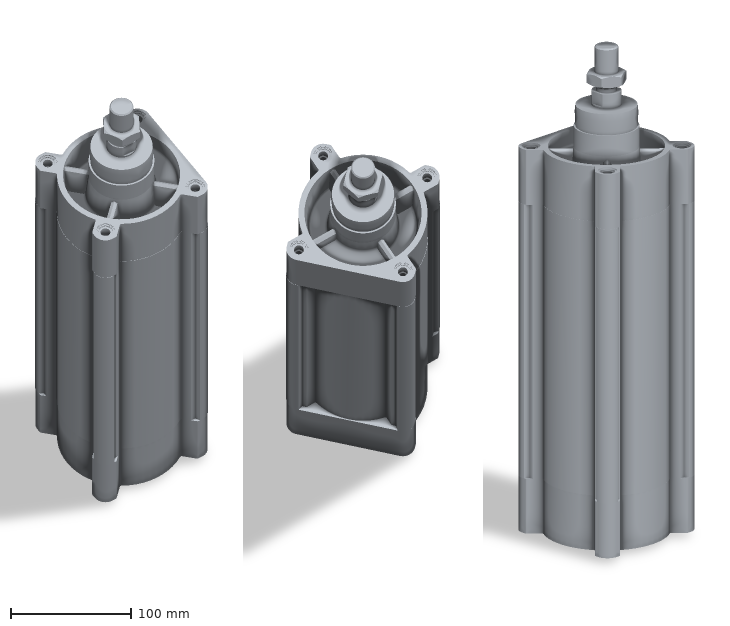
import cadquery as cq
import math


total_height = 431.5
side = 110.0
half_side = side / 2

spigot_height = 4.7
cap_height = 48.5
barrel_height = 241.5
barrel_bottom = spigot_height + cap_height
front_cap_bottom = barrel_bottom + barrel_height
front_cap_top = front_cap_bottom + cap_height
collar_top = front_cap_top + 18.0
gland_top = collar_top + 18.5

body_diameter = 108
lug_center = 44.5
lug_radius = half_side - lug_center
cap_setback = 0.2
flank_offset = 14.5
ledge_position = 51.0
ledge_end = 40.0
bead_end = lug_center - 2.0
lug_blend = 1.5

collar_diameter = 55.0
spigot_chamfer = 1.5
gland_end_radius = 26
gland_middle_radius = 26.8

recess_radius = 48.8
recess_depth = 26
wall_draft = math.radians(9)
hub_draft = math.radians(6)
shallow_recess_depth = 13
floor_blend = 2.0
rib_ridge_drop = 2.5
rib_shoulder_drop = 4.5
rib_shoulder_half_width = 2.5
rib_start = collar_diameter / 2 - 1.0
rib_end = recess_radius + 1.0

screw_bore_steps = [(16.0, 0.5), (15.0, 1.0), (13, 1.5), (12.0, 1.7), (8.0, 10.0), (5.5, 20.0)]

rod_diameter = 25.0
rod_flat_width = 22.0
rod_flat_bottom = gland_top + 1.7
rod_shoulder = 392.2
neck_diameter = 17.5
neck_top = 395.5
thread_diameter = 20.0
rod_bottom = front_cap_bottom

nut_width = 29.8
nut_bottom = 398.5
nut_height = 10.0
nut_chamfer_angle = math.radians(30)


def disc(diameter, bottom, height):
    return cq.Workplane("XY").workplane(offset=bottom).circle(diameter / 2).extrude(height)


def cap_lug():
    """Outline of one cap lug on the +X +Y diagonal."""
    cap_half_side = half_side - cap_setback
    flank_corner = cap_half_side - flank_offset
    arc_middle = lug_center + (lug_radius - cap_setback) * math.sqrt(0.5)
    return (
        cq.Workplane("XY")
        .lineTo(0, flank_offset)
        .lineTo(flank_corner, cap_half_side)
        .lineTo(lug_center, cap_half_side)
        .threePointArc((arc_middle, arc_middle), (cap_half_side, lug_center))
        .lineTo(cap_half_side, flank_corner)
        .lineTo(flank_offset, 0)
        .close()
    )


def barrel_lug():
    """Outline of one barrel lug: a round bead between two stepped-back ledges."""
    ledge_start = ledge_position - flank_offset
    bead_reach = lug_center + math.sqrt(lug_radius**2 - (lug_center - bead_end) ** 2)
    arc_middle = lug_center + lug_radius * math.sqrt(0.5)
    return (
        cq.Workplane("XY")
        .lineTo(0, flank_offset)
        .lineTo(ledge_start, ledge_position)
        .lineTo(ledge_end, ledge_position)
        .lineTo(bead_end, bead_reach)
        .threePointArc((arc_middle, arc_middle), (bead_reach, bead_end))
        .lineTo(ledge_position, ledge_end)
        .lineTo(ledge_position, ledge_start)
        .lineTo(flank_offset, 0)
        .close()
    )


def lugged_block(lug_outline, diameter, bottom, height):
    """Round body with the same lug on all four diagonals, blended where the lug flanks meet the body."""
    block = disc(diameter, bottom, height)
    lug = lug_outline.extrude(height).translate((0, 0, bottom))
    for quarter in range(4):
        block = block.union(lug.rotate((0, 0, 0), (0, 0, 1), 90 * quarter))

    near_side = (math.sqrt(diameter**2 / 2 - flank_offset**2) - flank_offset) / 2
    far_side = near_side + flank_offset
    return blend_upright_edges(block, near_side, far_side)


def blend_upright_edges(block, near_side, far_side):
    """Round the eight upright edges at (+-near_side, +-far_side) and (+-far_side, +-near_side)."""

    def is_selected(edge):
        low, high = sorted((abs(edge.Center().x), abs(edge.Center().y)))
        return math.isclose(low, near_side, abs_tol=0.05) and math.isclose(high, far_side, abs_tol=0.05)

    return block.edges("|Z").filter(is_selected).fillet(lug_blend)


def make_cap(bottom):
    """End cap: lugged block with a full-width flat on its +Y side."""
    cap_half_side = half_side - cap_setback
    block = lugged_block(cap_lug(), body_diameter - 2 * cap_setback, bottom, cap_height)
    block = blend_upright_edges(block, cap_half_side - flank_offset, cap_half_side)
    flat_side = (
        cq.Workplane("XY")
        .workplane(offset=bottom)
        .rect(2 * lug_center, cap_half_side)
        .extrude(cap_height)
        .translate((0, cap_half_side / 2, 0))
    )
    return block.union(flat_side)


def ring_recess(depth):
    """Ring-shaped recess around the collar, with drafted walls and a blended floor."""
    floor = front_cap_top - depth
    hub_radius = collar_diameter / 2
    return (
        cq.Workplane("XZ")
        .moveTo(hub_radius, front_cap_top)
        .lineTo(recess_radius, front_cap_top)
        .lineTo(recess_radius - depth * math.tan(wall_draft), floor)
        .lineTo(hub_radius + depth * math.tan(hub_draft), floor)
        .close()
        .revolve(360, (0, 0, 0), (0, 1, 0))
        .faces("<Z")
        .edges()
        .fillet(floor_blend)
    )


def deep_recess():
    """Part of the deep recess outside the quarter on the +Y side of the collar."""
    shallow_quarter = (
        cq.Workplane("XY")
        .workplane(offset=front_cap_top)
        .lineTo(half_side, half_side)
        .lineTo(-half_side, half_side)
        .close()
        .extrude(-recess_depth)
    )
    return ring_recess(recess_depth).cut(shallow_quarter)


def recess_rib():
    """Rib along +X with a roof-shaped top and drafted sides."""
    shoulder_height = recess_depth - rib_shoulder_drop
    base_half_width = rib_shoulder_half_width + shoulder_height * math.tan(wall_draft)
    return (
        cq.Workplane("YZ")
        .moveTo(-base_half_width, 0)
        .lineTo(-rib_shoulder_half_width, shoulder_height)
        .lineTo(0, recess_depth - rib_ridge_drop)
        .lineTo(rib_shoulder_half_width, shoulder_height)
        .lineTo(base_half_width, 0)
        .close()
        .extrude(rib_end - rib_start)
        .translate((rib_start, 0, front_cap_top - recess_depth))
    )


def make_gland():
    """Rod gland with a slightly bulged side."""
    return (
        cq.Workplane("XZ")
        .moveTo(0, collar_top)
        .lineTo(gland_end_radius, collar_top)
        .threePointArc((gland_middle_radius, (collar_top + gland_top) / 2), (gland_end_radius, gland_top))
        .lineTo(0, gland_top)
        .close()
        .revolve(360, (0, 0, 0), (0, 1, 0))
    )


def screw_bore(x, y):
    """Stepped bore going down from the front cap top."""
    bore = cq.Workplane("XY")
    for diameter, depth in screw_bore_steps:
        bore = bore.union(disc(diameter, front_cap_top - depth, depth))
    return bore.translate((x, y, 0))


def make_housing():
    spigot = disc(collar_diameter, 0, spigot_height).faces("<Z").chamfer(spigot_chamfer)
    barrel = lugged_block(barrel_lug(), body_diameter, barrel_bottom, barrel_height)
    housing = spigot.union(make_cap(spigot_height)).union(barrel).union(make_cap(front_cap_bottom))

    housing = housing.cut(ring_recess(shallow_recess_depth)).cut(deep_recess())
    for quarter in range(4):
        housing = housing.union(recess_rib().rotate((0, 0, 0), (0, 0, 1), 45 + 90 * quarter))

    collar = disc(collar_diameter, front_cap_top, collar_top - front_cap_top)
    housing = housing.union(collar).union(make_gland())

    for x in (-lug_center, lug_center):
        for y in (-lug_center, lug_center):
            housing = housing.cut(screw_bore(x, y))
    return housing.cut(disc(rod_diameter, rod_bottom, gland_top - rod_bottom))


def make_rod():
    thread_chamfer = (thread_diameter - neck_diameter) / 2
    rod_radius = rod_diameter / 2
    rod = (
        cq.Workplane("XZ")
        .moveTo(0, rod_bottom)
        .lineTo(rod_radius, rod_bottom)
        .lineTo(rod_radius, rod_shoulder)
        .lineTo(neck_diameter / 2, rod_shoulder)
        .lineTo(neck_diameter / 2, neck_top)
        .lineTo(thread_diameter / 2, neck_top + thread_chamfer)
        .lineTo(thread_diameter / 2, total_height - thread_chamfer)
        .lineTo(thread_diameter / 2 - thread_chamfer, total_height)
        .lineTo(0, total_height)
        .close()
        .revolve(360, (0, 0, 0), (0, 1, 0))
    )
    flat_cutter = (
        cq.Workplane("XY")
        .workplane(offset=rod_flat_bottom)
        .rect(rod_diameter, rod_diameter)
        .extrude(rod_shoulder - rod_flat_bottom)
    )
    for direction in (-1, 1):
        rod = rod.cut(flat_cutter.translate((direction * (rod_flat_width + rod_diameter) / 2, 0, 0)))
    return rod


def make_nut():
    """Hexagon nut with flats facing X and both faces chamfered at the corners."""
    corner_radius = nut_width / math.sqrt(3)
    face_radius = nut_width / 2
    drop = (corner_radius - face_radius) * math.tan(nut_chamfer_angle)
    blank = (
        cq.Workplane("XY")
        .polygon(6, 2 * corner_radius)
        .extrude(nut_height)
        .rotate((0, 0, 0), (0, 0, 1), 30)
    )
    envelope = (
        cq.Workplane("XZ")
        .lineTo(face_radius, 0)
        .lineTo(corner_radius, drop)
        .lineTo(corner_radius, nut_height - drop)
        .lineTo(face_radius, nut_height)
        .lineTo(0, nut_height)
        .close()
        .revolve(360, (0, 0, 0), (0, 1, 0))
    )
    nut = blank.intersect(envelope).cut(disc(thread_diameter, 0, nut_height))
    return nut.translate((0, 0, nut_bottom))


housing = make_housing()
rod = make_rod()
nut = make_nut()

result = cq.Compound.makeCompound([housing.val(), rod.val(), nut.val()])